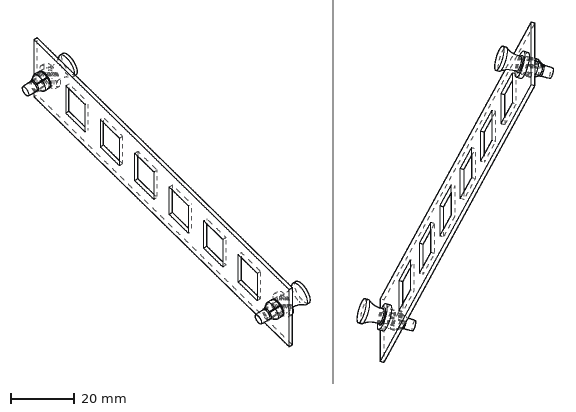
import cadquery as cq

panel_length = 129.5
panel_height = 28.8
panel_thickness = 1.3

window_count = 6
window_width = 9.7
window_height = 13.7
window_pitch = 17.5

rivet_spacing = 118.1
rivet_places = [-rivet_spacing / 2, rivet_spacing / 2]

collar_radius = 4.3
collar_thickness = 1.5
shank_radius = 3.0
shank_reach = 0.4
barrel_radius = 3.1
barrel_length = 2.0
taper_length = 1.8
lip_radius = 2.0
lip_length = 0.5
slot_count = 3
slot_width = 0.3

plunger_length = 17.7
stem_radius = 1.8
tip_radius = 1.7
tip_length = 0.9
foot_radius = 2.8
foot_length = 0.4
neck_radius = 2.5
knob_radius = 4.0
knob_length = 7.0
rim_thickness = 1.2
flare_length = 4.3

collar_back = panel_thickness + collar_thickness
knob_back = collar_back + knob_length
flare_start = knob_back - rim_thickness
flare_end = flare_start - flare_length
foot_end = collar_back + foot_length
barrel_start = -shank_reach
taper_start = barrel_start - barrel_length
taper_end = taper_start - taper_length
lip_end = taper_end - lip_length
stem_tip = knob_back - plunger_length


def revolve_about_y(profile):
    """Close a profile of (radius, Y) points and turn it about the Y axis."""
    return profile.close().revolve(360, (0, 0, 0), (0, 1, 0))


def make_panel():
    front = cq.Workplane("XZ")
    plate = front.rect(panel_length, panel_height).extrude(-panel_thickness)

    first_window = -(window_count - 1) / 2 * window_pitch
    window_places = [(first_window + i * window_pitch, 0) for i in range(window_count)]
    windows = front.pushPoints(window_places).rect(window_width, window_height).extrude(-panel_thickness)

    hole_places = [(x, 0) for x in rivet_places]
    rivet_holes = front.pushPoints(hole_places).circle(shank_radius).extrude(-panel_thickness)
    return plate.cut(windows).cut(rivet_holes)


def make_grommet(x):
    body = revolve_about_y(
        cq.Workplane("XY")
        .moveTo(stem_radius, collar_back)
        .lineTo(collar_radius, collar_back)
        .lineTo(collar_radius, panel_thickness)
        .lineTo(shank_radius, panel_thickness)
        .lineTo(shank_radius, barrel_start)
        .lineTo(barrel_radius, barrel_start)
        .lineTo(barrel_radius, taper_start)
        .lineTo(lip_radius, taper_end)
        .lineTo(lip_radius, lip_end)
        .lineTo(stem_radius, lip_end)
    )

    slot_length = barrel_start - taper_end
    slot = (
        cq.Workplane("XY")
        .box(barrel_radius, slot_length, slot_width, centered=(False, False, True))
        .translate((-barrel_radius, taper_end, 0))
    )
    for i in range(slot_count):
        body = body.cut(slot.rotate((0, 0, 0), (0, 1, 0), i * 360 / slot_count))
    return body.translate((x, 0, 0))


def make_plunger(x):
    body = revolve_about_y(
        cq.Workplane("XY")
        .moveTo(0, stem_tip)
        .lineTo(tip_radius, stem_tip)
        .lineTo(stem_radius, stem_tip + tip_length)
        .lineTo(stem_radius, collar_back)
        .lineTo(foot_radius, collar_back)
        .lineTo(neck_radius, foot_end)
        .lineTo(neck_radius, flare_end)
        .tangentArcPoint((knob_radius, flare_start), relative=False)
        .lineTo(knob_radius, knob_back)
        .lineTo(0, knob_back)
    )
    return body.translate((x, 0, 0))


panel = make_panel()
grommets = [make_grommet(x) for x in rivet_places]
plungers = [make_plunger(x) for x in rivet_places]

result = cq.Compound.makeCompound(
    [
        panel.val(),
        *[grommet.val() for grommet in grommets],
        *[plunger.val() for plunger in plungers],
    ]
)